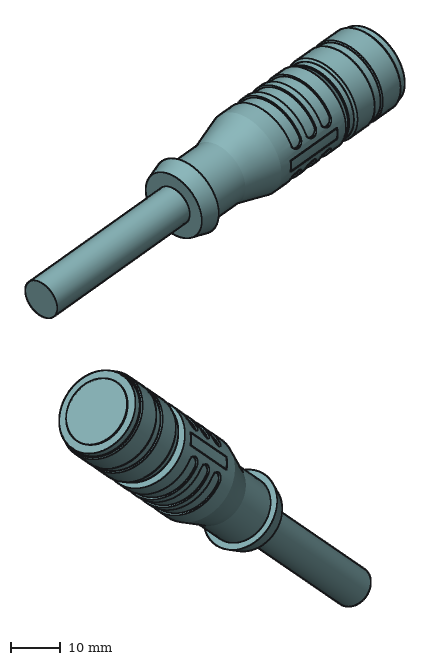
import cadquery as cq

TOTAL_LENGTH = 100.3
MAX_DIAMETER = 19.0
MAX_RADIUS = MAX_DIAMETER / 2

INSERT_STEP = 0.3
FIRST_BAND_START = 1.9
SECOND_BAND_START = 9.7
BAND_LENGTH = 6.0
NUT_END = 17.4

BAND_BEVEL = 0.3
REAR_BAND_BEVEL = 0.5
NUT_REAR_CHAMFER = 0.2

GRIP_START = 18.8
TAPER_START = 38.3
SLEEVE_START = 46.5
COLLAR_START = 56.3
COLLAR_END = 60.2

INSERT_RADIUS = 7.1
NUT_RADIUS = 8.9
GROOVE_RADIUS = 9.1
NECK_RADIUS = 6.2
SLEEVE_RADIUS = 7.1
COLLAR_FRONT_RADIUS = 8.6
COLLAR_BACK_RADIUS = 7.5
CABLE_RADIUS = 4.3

CUT_MARGIN = 1.0

SLOT_COUNT = 3
SLOT_PITCH = 4.5
SLOT_WIDTH = 3.0
FIRST_SLOT_CENTER = 23.7
SLOT_TIP_HEIGHT = 2.9
SLOT_FLOOR_RADIUS = 9.0

LABEL_START = 21.3
LABEL_LENGTH = 14.0
LABEL_HEIGHT = 2.8
LABEL_FLOOR_RADIUS = 9.3


def cylinder(start, end, radius):
    """Round section between two distances from the plug end."""
    return cq.Workplane("XZ", origin=(0, -start, 0)).circle(radius).extrude(end - start)


def cone(start, end, start_radius, end_radius):
    """Tapered section between two distances from the plug end."""
    profile = [(0, -start), (start_radius, -start), (end_radius, -end), (0, -end)]
    return cq.Workplane("XY").polyline(profile).close().revolve(360, (0, 0), (0, 1))


def band(start, rear_bevel):
    """Raised ring of the coupling nut with bevelled front and rear rims."""
    ring = cylinder(start, start + BAND_LENGTH, MAX_RADIUS)
    return ring.edges(">Y").chamfer(BAND_BEVEL).edges("<Y").chamfer(rear_bevel)


def grip_skin(start, end, floor_radius):
    """Tube of material between a recess floor and the outside of the grip."""
    return cylinder(start, end, MAX_RADIUS + CUT_MARGIN).cut(cylinder(start, end, floor_radius))


def coupling_nut():
    """Nut with two raised bands, a groove between them and the insert showing in front."""
    nut = cylinder(INSERT_STEP, NUT_END, NUT_RADIUS).edges("<Y").chamfer(NUT_REAR_CHAMFER)
    nut = nut.union(cylinder(0, INSERT_STEP, INSERT_RADIUS))
    half_band = BAND_LENGTH / 2
    nut = nut.union(cylinder(FIRST_BAND_START + half_band, SECOND_BAND_START + half_band, GROOVE_RADIUS))
    nut = nut.union(band(FIRST_BAND_START, BAND_BEVEL))
    return nut.union(band(SECOND_BAND_START, REAR_BAND_BEVEL))


def finger_slot(center):
    """Round-ended slot running over the top of the grip, plus its twin underneath."""
    half_width = SLOT_WIDTH / 2
    outline_top = MAX_RADIUS + CUT_MARGIN
    slot = (
        cq.Workplane("YZ")
        .moveTo(-center - half_width, outline_top)
        .lineTo(-center - half_width, SLOT_TIP_HEIGHT + half_width)
        .threePointArc((-center, SLOT_TIP_HEIGHT), (-center + half_width, SLOT_TIP_HEIGHT + half_width))
        .lineTo(-center + half_width, outline_top)
        .close()
        .extrude(outline_top, both=True)
    )
    skin = grip_skin(center - half_width, center + half_width, SLOT_FLOOR_RADIUS)
    return slot.union(slot.mirror("XY")).intersect(skin)


def label_recesses():
    """Rectangular recesses on the +X and -X sides of the grip."""
    label_end = LABEL_START + LABEL_LENGTH
    label_center = (LABEL_START + label_end) / 2
    bar = cq.Workplane("XY").box(MAX_DIAMETER + 2 * CUT_MARGIN, LABEL_LENGTH, LABEL_HEIGHT)
    bar = bar.translate((0, -label_center, 0))
    return bar.intersect(grip_skin(LABEL_START, label_end, LABEL_FLOOR_RADIUS))


def molded_grip():
    """Grip with its recesses, then the taper, sleeve and conical end collar."""
    grip = cylinder(GRIP_START, TAPER_START, MAX_RADIUS)
    for index in range(SLOT_COUNT):
        grip = grip.cut(finger_slot(FIRST_SLOT_CENTER + index * SLOT_PITCH))
    grip = grip.cut(label_recesses())
    grip = grip.union(cone(TAPER_START, SLEEVE_START, MAX_RADIUS, SLEEVE_RADIUS))
    grip = grip.union(cylinder(SLEEVE_START, COLLAR_START, SLEEVE_RADIUS))
    return grip.union(cone(COLLAR_START, COLLAR_END, COLLAR_FRONT_RADIUS, COLLAR_BACK_RADIUS))


neck = cylinder(NUT_END, GRIP_START, NECK_RADIUS)
cable = cylinder(COLLAR_END, TOTAL_LENGTH, CABLE_RADIUS)

result = coupling_nut().union(neck).union(molded_grip()).union(cable)